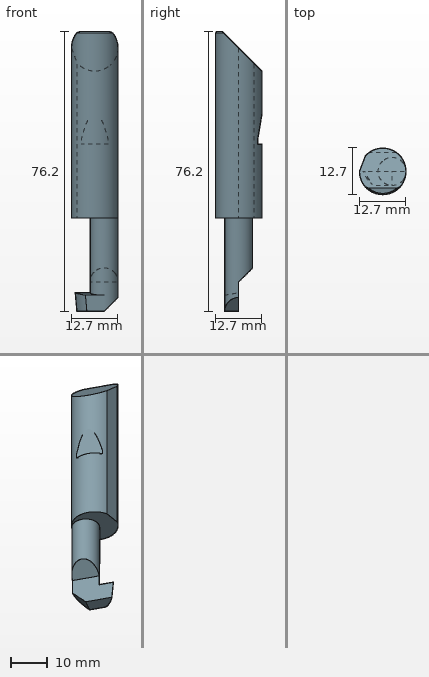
import cadquery as cq
import math

shank_diameter = 12.7
shank_radius = shank_diameter / 2
total_length = 76.2
neck_length = 25.4
shank_length = total_length - neck_length

top_flat_width = 1.9
top_chamfer = 0.38

flat_angle = 20.7

notch_bottom = 45.5
notch_floor_length = 1.3
notch_ramp_length = 6.9
notch_depth = 1.15

neck_radius = 3.81
neck_center_x = shank_radius - neck_radius
relief_height = 8.05

head_reach = 5.33
head_height = 5.1
head_top_slope = 10.0
side_relief = 5.0
tip_face_radius = 9.0
tip_setback = 2.75


def side_prism(points):
    """Prism with the given (Y, Z) outline, spanning the whole shank along X."""
    return cq.Workplane("YZ").polyline(points).close().extrude(shank_radius, both=True)


def make_shank():
    shank = (
        cq.Workplane("XY")
        .workplane(offset=neck_length)
        .circle(shank_radius)
        .extrude(shank_length)
        .faces(">Z")
        .chamfer(top_chamfer)
    )
    return shank.cut(top_slope()).cut(orientation_flat()).cut(clamping_notch())


def top_slope():
    slope_start_y = -shank_radius + top_flat_width
    slope_drop = shank_radius - slope_start_y
    return side_prism([
        (slope_start_y, total_length),
        (shank_radius, total_length),
        (shank_radius, total_length - slope_drop),
    ])


def orientation_flat():
    flat_distance = shank_radius * math.cos(math.radians(flat_angle))
    return (
        cq.Workplane("XY")
        .workplane(offset=neck_length)
        .center(-flat_distance - shank_radius, 0)
        .rect(shank_diameter, 2 * shank_diameter)
        .extrude(shank_length)
        .rotate((0, 0, 0), (0, 0, 1), -flat_angle)
    )


def clamping_notch():
    floor_y = shank_radius - notch_depth
    ramp_start = notch_bottom + notch_floor_length
    return side_prism([
        (shank_radius, notch_bottom),
        (floor_y, notch_bottom),
        (floor_y, ramp_start),
        (shank_radius, ramp_start + notch_ramp_length),
    ])


def make_neck():
    neck = cq.Workplane("XY").center(neck_center_x, 0).circle(neck_radius).extrude(neck_length)
    return neck.cut(rake_relief()).cut(heel_bevel())


def rake_relief():
    """Removes the +Y half at the bottom, running out upward at 45 degrees."""
    return side_prism([
        (0, 0),
        (neck_radius, 0),
        (neck_radius, relief_height + neck_radius),
        (0, relief_height),
    ])


def heel_bevel():
    """45 degree bevel at the bottom of the neck on the +X side."""
    return (
        cq.Workplane("XZ")
        .polyline([(neck_center_x, 0), (shank_radius, 0), (shank_radius, neck_radius)])
        .close()
        .extrude(neck_radius, both=True)
    )


def make_head():
    front_height = head_height - neck_radius * math.tan(math.radians(head_top_slope))
    block = (
        cq.Workplane("YZ")
        .workplane(offset=-shank_radius)
        .polyline([(0, 0), (-neck_radius, 0), (-neck_radius, front_height), (0, head_height)])
        .close()
        .extrude(shank_radius + neck_center_x)
    )
    return block.intersect(tip_prism())


def tip_prism():
    """Oblique prism, leaning inward toward the bottom, with the curved tip face on its -X side."""
    lean = head_height * math.tan(math.radians(side_relief))
    outline = (
        cq.Workplane("XY")
        .workplane(offset=head_height)
        .moveTo(-head_reach, 0)
        .radiusArc((-head_reach + tip_setback, -neck_radius), -tip_face_radius)
        .lineTo(shank_radius, -neck_radius)
        .lineTo(shank_radius, 0)
        .close()
    )
    return cq.Workplane(
        cq.Solid.extrudeLinear(outline.val(), [], cq.Vector(lean, 0, -head_height))
    )


result = make_shank().union(make_neck()).union(make_head())